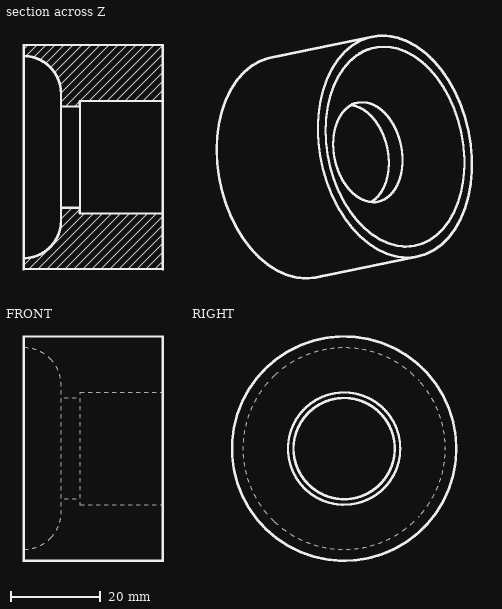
import cadquery as cq
import math

length = 31.0
outer_diameter = 50.0

rim_wall = 2.5
dish_radius = 8.3

lip_diameter = 22.5
lip_length = 4.2
bore_diameter = 25.0

near_end = -length / 2
far_end = length / 2
outer_radius = outer_diameter / 2
lip_radius = lip_diameter / 2
bore_radius = bore_diameter / 2
dish_rim_radius = outer_radius - rim_wall
dish_floor_radius = dish_rim_radius - dish_radius
dish_floor = near_end + dish_radius
lip_end = dish_floor + lip_length


def make_roller():
    """Revolve the half section, drawn as (axial position, radius), about the X axis."""
    diagonal = dish_radius * math.cos(math.radians(45))
    arc_middle = (near_end + diagonal, dish_floor_radius + diagonal)
    profile = (
        cq.Workplane("XY")
        .moveTo(near_end, outer_radius)
        .lineTo(near_end, dish_rim_radius)
        .threePointArc(arc_middle, (dish_floor, dish_floor_radius))
        .lineTo(dish_floor, lip_radius)
        .lineTo(lip_end, lip_radius)
        .lineTo(lip_end, bore_radius)
        .lineTo(far_end, bore_radius)
        .lineTo(far_end, outer_radius)
        .close()
    )
    return profile.revolve(360, (0, 0, 0), (1, 0, 0))


result = make_roller()